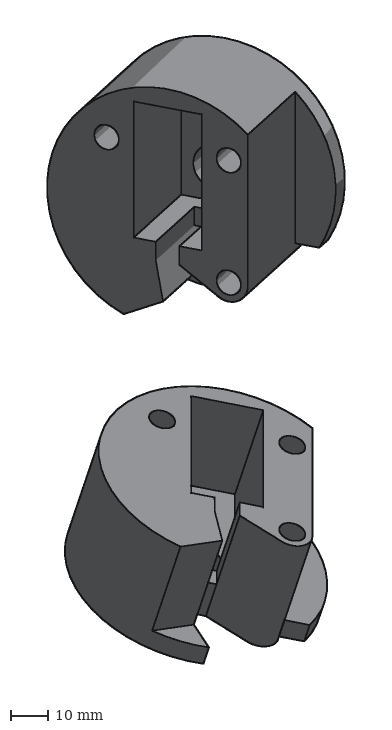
import cadquery as cq
import math

radius = 35.55
depth = 36.5
plate_thickness = 6.0

screw_offset = 18.0
screw_diameter = 7.2
shaft_diameter = 12.8

lug_radius = 5.6
flat_x = screw_offset + lug_radius

pocket_width = 20.0
pocket_top = 30.0
pocket_bottom = -10.0
slot_width = 7.0
slot_mouth_z = -15.5
pocket_depth = depth - plate_thickness
slot_depth = 24.9

jaw_x = -1.35
jaw_z = -27.25
jaw_lean = math.radians(27)


def rim_point_at_x(x):
    """Point on the upper half of the rim at a given X."""
    return (x, math.sqrt(radius**2 - x**2))


def rim_point_from_jaw(direction):
    """Point where a unit direction leaving the jaw corner meets the rim."""
    along = jaw_x * direction[0] + jaw_z * direction[1]
    clearance = radius**2 - jaw_x**2 - jaw_z**2
    length = -along + math.sqrt(along**2 + clearance)
    return (jaw_x + length * direction[0], jaw_z + length * direction[1])


def lug_point(angle):
    """Point on the rounded lug at an angle from +X."""
    return (
        screw_offset + lug_radius * math.cos(angle),
        -screw_offset + lug_radius * math.sin(angle),
    )


def drum_section(right_rim_point, jaw_rim_point, thickness):
    """Extrude a section forward from Y = 0, between two points on the rim."""
    mouth_dx = slot_width / 2 - screw_offset
    mouth_dz = slot_mouth_z + screw_offset
    mouth_distance = math.hypot(mouth_dx, mouth_dz)
    tangent_angle = math.atan2(mouth_dz, mouth_dx) + math.acos(lug_radius / mouth_distance)
    tangent_angle -= 2 * math.pi
    rim_middle = rim_point_at_x(-radius * math.cos(math.pi / 4))
    return (
        cq.Workplane("XZ")
        .moveTo(*right_rim_point)
        .lineTo(flat_x, -screw_offset)
        .threePointArc(lug_point(tangent_angle / 2), lug_point(tangent_angle))
        .lineTo(slot_width / 2, slot_mouth_z)
        .lineTo(-slot_width / 2, slot_mouth_z)
        .lineTo(jaw_x, jaw_z)
        .lineTo(*jaw_rim_point)
        .threePointArc(rim_middle, right_rim_point)
        .close()
        .extrude(thickness)
    )


def front_cut(width, top, bottom, cut_depth):
    """Block for an opening centred on X = 0, sunk from the front face."""
    return (
        cq.Workplane("XZ", origin=(0, -depth, 0))
        .center(0, (top + bottom) / 2)
        .rect(width, top - bottom)
        .extrude(-cut_depth)
    )


def through_holes(centres, diameter):
    """Round cutters running the full depth along Y."""
    return cq.Workplane("XZ").pushPoints(centres).circle(diameter / 2).extrude(depth)


flange_corner = (math.sqrt(radius**2 - screw_offset**2), -screw_offset)
jaw_tip = rim_point_from_jaw((math.sin(jaw_lean), -math.cos(jaw_lean)))
plate = drum_section(flange_corner, jaw_tip, plate_thickness)

flat_top = rim_point_at_x(flat_x)
jaw_cut_end = rim_point_from_jaw((-math.cos(jaw_lean), -math.sin(jaw_lean)))
body = drum_section(flat_top, jaw_cut_end, depth)

pocket = front_cut(pocket_width, pocket_top, pocket_bottom, pocket_depth)
slot = front_cut(slot_width, pocket_bottom, slot_mouth_z, slot_depth)

screw_centres = [
    (-screw_offset, screw_offset),
    (screw_offset, screw_offset),
    (screw_offset, -screw_offset),
]

result = (
    body.union(plate)
    .cut(pocket)
    .cut(slot)
    .cut(through_holes(screw_centres, screw_diameter))
    .cut(through_holes([(0, 0)], shaft_diameter))
)